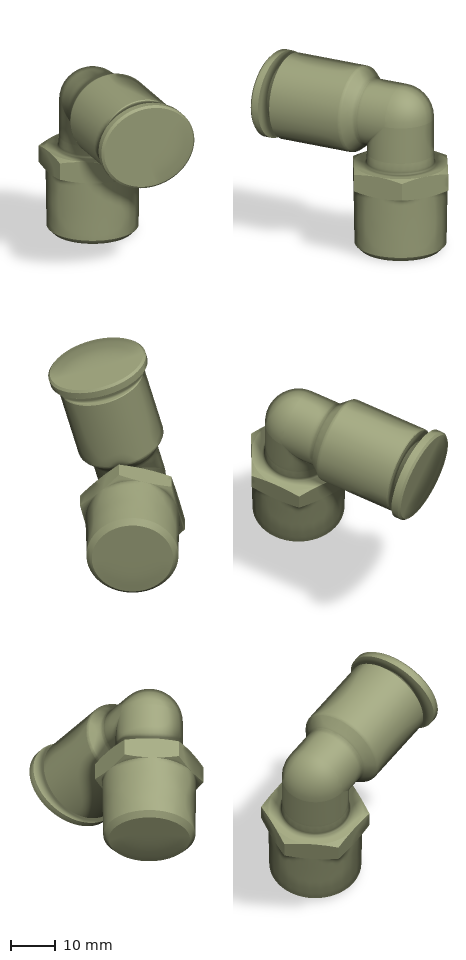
import cadquery as cq
import math


elbow_radius = 7.5

hex_across_flats = 21.0
hex_height = 5.05
hex_top = -10.95
hex_bottom = hex_top - hex_height
hex_corner_radius = hex_across_flats / math.sqrt(3)
hex_bevel_height = 0.58

neck_top = -8.4
neck_base_radius = 7.65
neck_flare = 0.5

thread_bottom = -31.0
thread_top_radius = 10.5
thread_end_radius = 10.3
thread_chamfer = 1.2

socket_radius = 9.85
cone_start = 7.5
cone_angle = math.radians(40)
cone_end = cone_start + (socket_radius - elbow_radius) / math.tan(cone_angle)
cone_blend_radius = 1.0
socket_end = 28.2
socket_edge_chamfer = 0.18

overall_length = 44.3
collar_radius = 7.1
flange_start = 30.1
flange_end = overall_length - hex_corner_radius
flange_half_width = 11.25
flange_half_height = 9.8
flange_chamfer = 0.5


def revolve_about_z(outline):
    """Revolve a (radius, z) outline about the threaded leg's axis."""
    return cq.Workplane("XZ").polyline(outline).close().revolve(360, (0, 0, 0), (0, 1, 0))


def make_elbow():
    """Two round legs joined by a ball at the corner."""
    ball = cq.Workplane("XY").sphere(elbow_radius)
    down_leg = cq.Workplane("XY").circle(elbow_radius).extrude(neck_top)
    side_leg = cq.Workplane("YZ").circle(elbow_radius).extrude(cone_start)
    return ball.union(down_leg).union(side_leg)


def make_neck():
    """Slightly conical neck that flares where it meets the nut."""
    flare_radius = neck_base_radius + neck_flare
    flare_top = hex_top + neck_flare
    return (
        cq.Workplane("XZ")
        .moveTo(0, neck_top)
        .lineTo(elbow_radius, neck_top)
        .lineTo(neck_base_radius, flare_top)
        .radiusArc((flare_radius, hex_top), -neck_flare)
        .lineTo(0, hex_top)
        .close()
        .revolve(360, (0, 0, 0), (0, 1, 0))
    )


def make_nut():
    """Hexagon with corners on the X axis, bevelled at top and bottom."""
    prism = (
        cq.Workplane("XY", origin=(0, 0, hex_bottom))
        .polygon(6, 2 * hex_corner_radius)
        .extrude(hex_height)
    )
    face_radius = hex_across_flats / 2
    bevelled_disc = revolve_about_z([
        (0, hex_bottom),
        (face_radius, hex_bottom),
        (hex_corner_radius, hex_bottom + hex_bevel_height),
        (hex_corner_radius, hex_top - hex_bevel_height),
        (face_radius, hex_top),
        (0, hex_top),
    ])
    return prism.intersect(bevelled_disc)


def make_thread():
    """Plain tapered spigot with a chamfered end."""
    return revolve_about_z([
        (0, hex_bottom),
        (thread_top_radius, hex_bottom),
        (thread_end_radius, thread_bottom + thread_chamfer),
        (thread_end_radius - thread_chamfer, thread_bottom),
        (0, thread_bottom),
    ])


def make_socket():
    """Socket barrel behind a cone, with both cone edges blended."""
    outline = [
        (0, 0),
        (0, elbow_radius),
        (cone_start, elbow_radius),
        (cone_end, socket_radius),
        (socket_end, socket_radius),
        (socket_end, 0),
    ]
    barrel = cq.Workplane("XZ").polyline(outline).close().revolve(360, (0, 0, 0), (1, 0, 0))
    barrel = barrel.faces(">X").edges().chamfer(socket_edge_chamfer)
    barrel = barrel.faces("%CONE").faces("<X").edges().fillet(cone_blend_radius)
    reach = flange_end
    mitre_side = (
        cq.Workplane("XZ")
        .polyline([(0, 0), (reach, -reach), (reach, reach), (0, reach)])
        .close()
        .extrude(reach, both=True)
    )
    return barrel.intersect(mitre_side)


def make_collar():
    """Round collar carrying an oval flange chamfered at its outer end."""
    collar = (
        cq.Workplane("YZ", origin=(socket_end, 0, 0))
        .circle(collar_radius)
        .extrude(flange_start - socket_end)
    )
    flange = (
        cq.Workplane("YZ", origin=(flange_start, 0, 0))
        .ellipse(flange_half_width, flange_half_height)
        .extrude(flange_end - flange_start)
        .faces(">X").edges().chamfer(flange_chamfer)
    )
    return collar.union(flange)


result = (
    make_elbow()
    .union(make_neck())
    .union(make_nut())
    .union(make_thread())
    .union(make_socket())
    .union(make_collar())
)